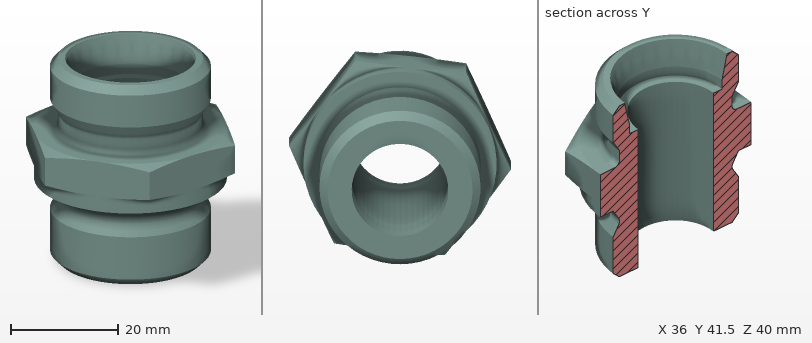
import cadquery as cq
import math

total_height = 40.0
hex_corner_diameter = 41.55
hex_flat_radius = hex_corner_diameter / 2 * math.cos(math.radians(30))
hex_top = 26.02
hex_bottom = 19.0
hex_chamfer_angle = 15.0
flange_bottom = 16.0

thread_radius = 15.0
end_chamfer = 1.5
groove_radius = 13.5
groove_taper_angle = 30.0
upper_thread_bottom = 32.1
lower_thread_top = 10.0
upper_groove_blend = 1.0
hex_fillet = 1.15

bore_radius = 18.0 / 2
counterbore_radius = 22.0 / 2
counterbore_depth = 7.65
cone_mouth_radius = 12.2
cone_half_angle = 12.0

taper_length = (thread_radius - groove_radius) / math.tan(math.radians(groove_taper_angle))


def blend(radius, base_z, direction):
    """Return start, middle and end of the arc from the groove floor to a taper.

    The line of the taper meets the floor at base_z.
    A direction of 1 puts the taper above the floor, -1 below it.
    """
    angle = math.radians(groove_taper_angle)
    start_z = base_z - direction * radius * math.tan(angle / 2)

    def point(turn):
        return (
            groove_radius + radius * (1 - math.cos(turn)),
            start_z + direction * radius * math.sin(turn),
        )

    return point(0), point(angle / 2), point(angle)


def make_turned_body():
    """Revolve the two ends, the relief grooves and the round flange."""
    end_radius = thread_radius - end_chamfer
    upper_start, upper_mid, upper_end = blend(upper_groove_blend, upper_thread_bottom - taper_length, 1)
    lower_taper_top = lower_thread_top + taper_length
    lower_floor_length = flange_bottom - lower_thread_top - 2 * taper_length
    lower_groove_blend = lower_floor_length / 2 / math.tan(math.radians(groove_taper_angle / 2))
    lower_middle, _, lower_start = blend(lower_groove_blend, lower_taper_top, -1)
    lower_end = (lower_start[0], 2 * lower_middle[1] - lower_start[1])
    fillet_mid = hex_fillet * (1 - math.sqrt(0.5))
    return (
        cq.Workplane("XZ")
        .moveTo(0, 0)
        .lineTo(end_radius, 0)
        .lineTo(thread_radius, end_chamfer)
        .lineTo(thread_radius, lower_thread_top)
        .lineTo(*lower_start)
        .threePointArc(lower_middle, lower_end)
        .lineTo(thread_radius, flange_bottom)
        .lineTo(hex_flat_radius, flange_bottom)
        .lineTo(hex_flat_radius, hex_top)
        .lineTo(groove_radius + hex_fillet, hex_top)
        .threePointArc(
            (groove_radius + fillet_mid, hex_top + fillet_mid),
            (groove_radius, hex_top + hex_fillet),
        )
        .lineTo(*upper_start)
        .threePointArc(upper_mid, upper_end)
        .lineTo(thread_radius, upper_thread_bottom)
        .lineTo(thread_radius, total_height - end_chamfer)
        .lineTo(end_radius, total_height)
        .lineTo(0, total_height)
        .close()
        .revolve(360, (0, 0), (0, 1))
    )


def make_hexagon():
    """Hexagon with corners on Y and conical chamfers at both faces."""
    corner_radius = hex_corner_diameter / 2
    chamfer_drop = (corner_radius - hex_flat_radius) * math.tan(math.radians(hex_chamfer_angle))
    prism = (
        cq.Workplane("XY", origin=(0, 0, hex_bottom))
        .polygon(6, hex_corner_diameter)
        .extrude(hex_top - hex_bottom)
        .rotate((0, 0, 0), (0, 0, 1), 30)
    )
    chamfer_envelope = (
        cq.Workplane("XZ")
        .moveTo(0, hex_bottom)
        .lineTo(hex_flat_radius, hex_bottom)
        .lineTo(corner_radius, hex_bottom + chamfer_drop)
        .lineTo(corner_radius, hex_top - chamfer_drop)
        .lineTo(hex_flat_radius, hex_top)
        .lineTo(0, hex_top)
        .close()
        .revolve(360, (0, 0), (0, 1))
    )
    return prism.intersect(chamfer_envelope)


def make_bore():
    """Through bore, stepped counterbore and conical mouth at the top."""
    cone_depth = (cone_mouth_radius - counterbore_radius) / math.tan(math.radians(cone_half_angle))
    counterbore_floor = total_height - counterbore_depth
    return (
        cq.Workplane("XZ")
        .moveTo(0, 0)
        .lineTo(bore_radius, 0)
        .lineTo(bore_radius, counterbore_floor)
        .lineTo(counterbore_radius, counterbore_floor)
        .lineTo(counterbore_radius, total_height - cone_depth)
        .lineTo(cone_mouth_radius, total_height)
        .lineTo(0, total_height)
        .close()
        .revolve(360, (0, 0), (0, 1))
    )


result = make_turned_body().union(make_hexagon()).cut(make_bore())